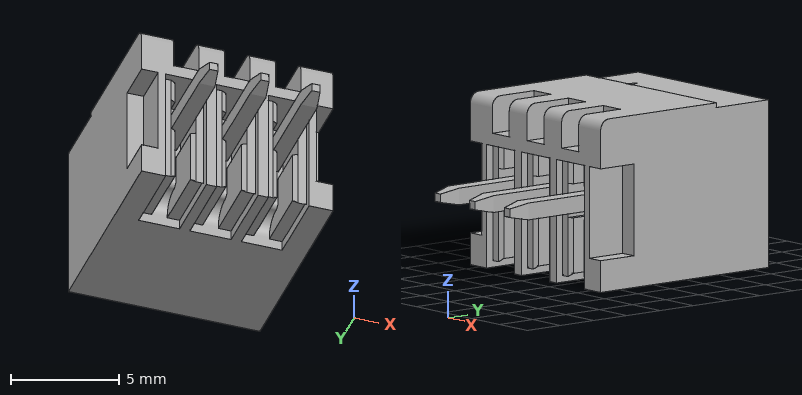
import cadquery as cq

body_width = 9.4
body_length = 10.1
body_height = 8.1
pin_pitch = 2.5
pin_centers = [-pin_pitch, 0.0, pin_pitch]

ledge_length = 3.13
ledge_drop = 0.22
edge_radius = 0.5

notch_width = 1.22
notch_depth = 2.5
notch_floor_z = 6.4

bay_span = 7.03
bay_top_z = 5.81
bay_depth = 0.38
rib_width = 0.5
rib_center = 1.26

recess_width = 0.82
recess_depth = 2.0
recess_bottom_z = 1.5
recess_top_z = bay_top_z

mouth_width = notch_width
slot_width = 0.76
mouth_taper_depth = 0.14
slot_depth = notch_depth
window_height = 1.6
undercut_front_z = 0.32
undercut_z = 0.49

upper_curve_radius = 0.3
lower_curve_radius = 0.9
curve_bottom_z = 0.58

pin_size = 0.79
pin_z = 3.89
pin_reach = 3.8
tip_size = 0.4
tip_length = 0.96

mark_width = 0.49
mark_length = 0.5
mark_depth = 0.1
mark_base_offset = 2.4

left_x = -body_width / 2
bay_outer_x = bay_span / 2
rib_inner_x = rib_center - rib_width / 2
rib_outer_x = rib_center + rib_width / 2
bay_limits = [(-bay_outer_x, -rib_outer_x), (-rib_inner_x, rib_inner_x), (rib_outer_x, bay_outer_x)]
taper_end_y = bay_depth + mouth_taper_depth
curve_middle_y = slot_depth + upper_curve_radius
curve_middle_z = curve_bottom_z + lower_curve_radius
curve_top_z = curve_middle_z + upper_curve_radius
deep_y = curve_middle_y + lower_curve_radius


def box(x_start, x_end, y_start, y_end, z_start, z_end):
    size = (x_end - x_start, y_end - y_start, z_end - z_start)
    return cq.Workplane("XY").box(*size, centered=False).translate((x_start, y_start, z_start))


def centered_box(x_center, width, y_start, y_end, z_start, z_end):
    return box(x_center - width / 2, x_center + width / 2, y_start, y_end, z_start, z_end)


def extrude_across(profile, width, x_center):
    """Extrude a YZ profile drawn on the plane X = 0 symmetrically about x_center."""
    return profile.extrude(width / 2, both=True).translate((x_center, 0, 0))


def make_body():
    block = centered_box(0, body_width, 0, body_length, 0, body_height)
    block = block.edges("|X and <Y and >Z").fillet(edge_radius)
    ledge_z = body_height - ledge_drop
    return block.cut(
        centered_box(0, body_width, body_length - ledge_length, body_length, ledge_z, body_height)
    )


def make_side_recess():
    return box(left_x, left_x + recess_width, 0, recess_depth, recess_bottom_z, recess_top_z)


def make_front_bay(x_start, x_end):
    return box(x_start, x_end, 0, bay_depth, 0, bay_top_z)


def make_slot(x_center):
    profile = (
        cq.Workplane("YZ")
        .moveTo(bay_depth, 0)
        .lineTo(bay_depth, bay_top_z)
        .lineTo(slot_depth, bay_top_z)
        .lineTo(slot_depth, curve_top_z)
        .radiusArc((curve_middle_y, curve_middle_z), -upper_curve_radius)
        .radiusArc((deep_y, curve_bottom_z), lower_curve_radius)
        .lineTo(deep_y, 0)
        .close()
    )
    return extrude_across(profile, slot_width, x_center)


def make_slot_mouth(x_center):
    return (
        cq.Workplane("XY")
        .polyline([
            (x_center - mouth_width / 2, bay_depth),
            (x_center + mouth_width / 2, bay_depth),
            (x_center + slot_width / 2, taper_end_y),
            (x_center - slot_width / 2, taper_end_y),
        ])
        .close()
        .extrude(bay_top_z)
    )


def make_undercut(x_start, x_end):
    profile = cq.Workplane("YZ").polyline([
        (bay_depth, 0),
        (bay_depth, undercut_front_z),
        (taper_end_y, undercut_z),
        (deep_y, undercut_z),
        (deep_y, 0),
    ]).close()
    return extrude_across(profile, x_end - x_start, (x_start + x_end) / 2)


def make_pin(x_center):
    tip_start = pin_reach - tip_length
    rear = cq.Workplane("XZ", origin=(x_center, slot_depth, pin_z))
    shank = rear.rect(pin_size, pin_size).extrude(slot_depth + tip_start)
    tip = (
        cq.Workplane("XZ", origin=(x_center, -tip_start, pin_z))
        .rect(pin_size, pin_size)
        .workplane(offset=tip_length)
        .rect(tip_size, tip_size)
        .loft()
    )
    return shank.union(tip)


def make_window(x_center):
    bottom_z = pin_z - window_height / 2
    top_z = pin_z + window_height / 2
    return centered_box(x_center, mouth_width, bay_depth, slot_depth, bottom_z, top_z)


def make_notch(x_center):
    return centered_box(x_center, notch_width, 0, notch_depth, notch_floor_z, body_height)


def make_mark():
    base_y = body_length - mark_base_offset
    mark_x = pin_centers[0]
    return (
        cq.Workplane("XY", origin=(mark_x, base_y, body_height - ledge_drop - mark_depth))
        .polyline([(-mark_width / 2, 0), (mark_width / 2, 0), (0, mark_length)])
        .close()
        .extrude(mark_depth)
    )


result = make_body().cut(make_mark())

side_recess = make_side_recess()
result = result.cut(side_recess).cut(side_recess.mirror("YZ"))

for bay_start, bay_end in bay_limits:
    result = result.cut(make_front_bay(bay_start, bay_end))
    result = result.cut(make_undercut(bay_start, bay_end))

for x in pin_centers:
    result = result.cut(make_notch(x))
    result = result.cut(make_slot(x))
    result = result.cut(make_slot_mouth(x))
    result = result.cut(make_window(x))
    result = result.union(make_pin(x))